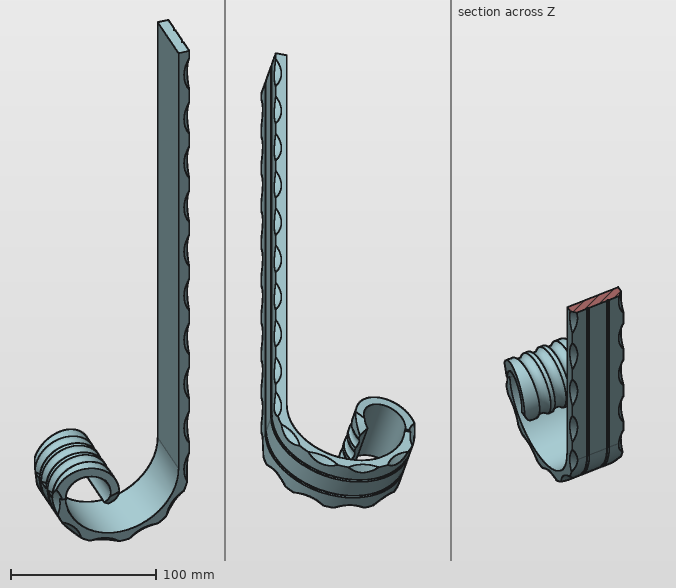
import cadquery as cq
import math

BAR_WIDTH = 40.0
BAR_THICKNESS = 8.0
HEIGHT = 400.0

BEND_RADIUS = 50.0
BEND_INNER_RADIUS = BEND_RADIUS - BAR_THICKNESS
BEND_Z = BEND_RADIUS

JOINT_ANGLE = math.radians(-176.0)
SCROLL_RADIUS = 22.5
SCROLL_INNER_RADIUS = 15.5
TIP_ANGLE = math.radians(-39.0)

FLARE_START_WIDTH = 41.0
FLARE_END_WIDTH = 56.15
TIP_WIDTH = 40.0
TIP_BULGE = 0.65

SCROLL_GROOVE_COUNT = 3
SCROLL_GROOVE_PITCH = 12.0
SCROLL_GROOVE_WIDTH = 8.7
SCROLL_GROOVE_DEPTH = 2.0

BACK_GROOVE_X = 7.8
BACK_GROOVE_WIDTH = 2.0
BACK_GROOVE_DEPTH = 0.8

DENT_LEG = 4.0
DENT_LENGTH = 27.0
DENT_CUTTER_LENGTH = 4 * DENT_LEG
FIRST_DENT_DROP = 19.5
BAR_DENT_PITCH = 37.2
BAR_DENT_COUNT = 9
BEND_DENT_START = 1.5
BEND_DENT_PITCH = 34.5
BEND_DENT_COUNT = 6

CUT_MARGIN = 10.0


def polar(center, radius, angle):
    """Point in the YZ plane at an angle measured from +Y towards +Z."""
    return (center[0] + radius * math.cos(angle), center[1] + radius * math.sin(angle))


BEND_CENTER = (0.0, BEND_Z)
SCROLL_CENTER = polar(BEND_CENTER, BEND_RADIUS - SCROLL_RADIUS, JOINT_ANGLE)
SCROLL_INNER_CENTER = polar(BEND_CENTER, BEND_INNER_RADIUS - SCROLL_INNER_RADIUS, JOINT_ANGLE)
JOINT_OUTER = polar(BEND_CENTER, BEND_RADIUS, JOINT_ANGLE)
JOINT_INNER = polar(BEND_CENTER, BEND_INNER_RADIUS, JOINT_ANGLE)
SCROLL_BACK_Y = SCROLL_CENTER[0] + SCROLL_RADIUS
SCROLL_FRONT_Y = SCROLL_CENTER[0] - SCROLL_RADIUS


def centered_extrude(sketch, width):
    return sketch.extrude(width / 2, both=True)


def make_bar_and_bend():
    middle = JOINT_ANGLE / 2
    sketch = (
        cq.Workplane("YZ")
        .moveTo(BEND_RADIUS, HEIGHT)
        .lineTo(BEND_RADIUS, BEND_Z)
        .threePointArc(polar(BEND_CENTER, BEND_RADIUS, middle), JOINT_OUTER)
        .lineTo(*JOINT_INNER)
        .threePointArc(polar(BEND_CENTER, BEND_INNER_RADIUS, middle), (BEND_INNER_RADIUS, BEND_Z))
        .lineTo(BEND_INNER_RADIUS, HEIGHT)
        .close()
    )
    return centered_extrude(sketch, BAR_WIDTH)


def make_scroll():
    """Curl from the joint over the top to the tip, trimmed to the flared outline."""
    start = JOINT_ANGLE + 2 * math.pi
    middle = (start + TIP_ANGLE) / 2
    sketch = (
        cq.Workplane("YZ")
        .moveTo(*JOINT_OUTER)
        .threePointArc(
            polar(SCROLL_CENTER, SCROLL_RADIUS, middle),
            polar(SCROLL_CENTER, SCROLL_RADIUS, TIP_ANGLE),
        )
        .lineTo(*polar(SCROLL_INNER_CENTER, SCROLL_INNER_RADIUS, TIP_ANGLE))
        .threePointArc(polar(SCROLL_INNER_CENTER, SCROLL_INNER_RADIUS, middle), JOINT_INNER)
        .close()
    )
    curl = centered_extrude(sketch, FLARE_END_WIDTH)
    return curl.intersect(make_flare_plan()).cut(make_tip_trim())


def make_flare_plan():
    """Trapezoid seen along Z: narrow at the front, widest at the back of the scroll."""
    front = FLARE_START_WIDTH / 2
    back = FLARE_END_WIDTH / 2
    return (
        cq.Workplane("XY")
        .polyline(
            [
                (-front, SCROLL_FRONT_Y),
                (front, SCROLL_FRONT_Y),
                (back, SCROLL_BACK_Y),
                (-back, SCROLL_BACK_Y),
            ]
        )
        .close()
        .extrude(HEIGHT)
    )


def make_tip_trim():
    """Corners removed on both sides of the tail so that it rounds in to the tip width."""
    wide = FLARE_END_WIDTH / 2
    narrow = TIP_WIDTH / 2
    top_z = SCROLL_CENTER[1]
    tip_z = polar(SCROLL_CENTER, SCROLL_RADIUS, TIP_ANGLE)[1]
    bulge_point = (narrow + TIP_BULGE * (wide - narrow), (top_z + tip_z) / 2)
    corner = (
        cq.Workplane("XZ", origin=(0, SCROLL_CENTER[0], 0))
        .moveTo(wide, top_z)
        .threePointArc(bulge_point, (narrow, tip_z))
        .lineTo(wide, tip_z)
        .close()
        .extrude(-SCROLL_RADIUS)
    )
    return corner.union(corner.mirror("YZ"))


def make_scroll_grooves():
    """Circular-segment grooves revolved about the scroll axis from the joint to the tip."""
    half = SCROLL_GROOVE_WIDTH / 2
    bottom_radius = SCROLL_RADIUS - SCROLL_GROOVE_DEPTH
    sweep = 360 + math.degrees(JOINT_ANGLE - TIP_ANGLE)
    grooves = cq.Workplane("XY")
    for index in range(SCROLL_GROOVE_COUNT):
        x = (index - (SCROLL_GROOVE_COUNT - 1) / 2) * SCROLL_GROOVE_PITCH
        groove = (
            cq.Workplane("XY")
            .moveTo(x - half, SCROLL_RADIUS + CUT_MARGIN)
            .lineTo(x - half, SCROLL_RADIUS)
            .threePointArc((x, bottom_radius), (x + half, SCROLL_RADIUS))
            .lineTo(x + half, SCROLL_RADIUS + CUT_MARGIN)
            .close()
            .revolve(sweep, (0, 0, 0), (1, 0, 0))
            .rotate((0, 0, 0), (1, 0, 0), math.degrees(TIP_ANGLE))
            .translate((0, *SCROLL_CENTER))
        )
        grooves = grooves.add(groove)
    return grooves.combine()


def make_back_groove(x):
    """V groove down the back of the bar and around the outside of the bend."""
    section = [
        (x - BACK_GROOVE_WIDTH / 2, BEND_RADIUS),
        (x, BEND_RADIUS - BACK_GROOVE_DEPTH),
        (x + BACK_GROOVE_WIDTH / 2, BEND_RADIUS),
    ]
    straight = cq.Workplane("XY").polyline(section).close().extrude(HEIGHT - BEND_Z)
    around = (
        cq.Workplane("XY")
        .polyline(section)
        .close()
        .revolve(-math.degrees(JOINT_ANGLE), (0, 0, 0), (-1, 0, 0))
    )
    return straight.union(around).translate((0, *BEND_CENTER))


def make_dent(side):
    """Cylinder lying across a back edge at the height of the bend centre."""
    depth = DENT_LEG / math.sqrt(2)
    radius = ((DENT_LENGTH / 2) ** 2 + depth**2) / (2 * depth)
    offset = (radius - depth) / math.sqrt(2)
    plane = cq.Plane(
        origin=(side * (BAR_WIDTH / 2 + offset), BEND_RADIUS + offset, BEND_Z),
        xDir=(0, 0, 1),
        normal=(side, -1, 0),
    )
    return cq.Workplane(plane).circle(radius).extrude(DENT_CUTTER_LENGTH / 2, both=True)


def cut_dents(body):
    for side in (-1, 1):
        dent = make_dent(side)
        for index in range(BAR_DENT_COUNT):
            z = HEIGHT - FIRST_DENT_DROP - index * BAR_DENT_PITCH
            body = body.cut(dent.translate((0, 0, z - BEND_Z)))
        for index in range(BEND_DENT_COUNT):
            angle = BEND_DENT_START + index * BEND_DENT_PITCH
            body = body.cut(dent.rotate((0, *BEND_CENTER), (1, *BEND_CENTER), -angle))
    return body


bar = make_bar_and_bend()
for groove_x in (-BACK_GROOVE_X, BACK_GROOVE_X):
    bar = bar.cut(make_back_groove(groove_x))
scroll = make_scroll().cut(make_scroll_grooves())
result = cut_dents(bar.union(scroll))